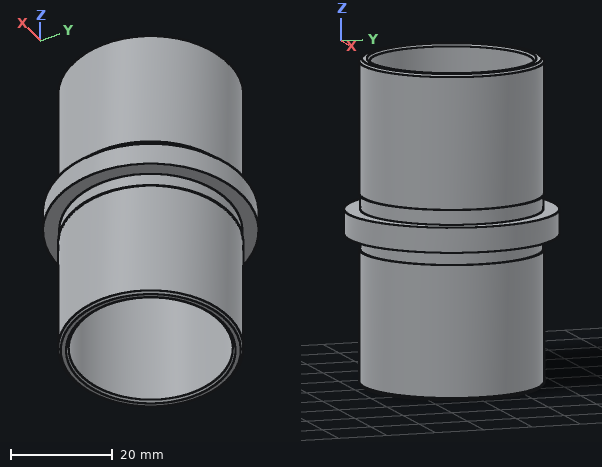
import cadquery as cq

length = 65.0
tube_diameter = 36.4
bore_diameter = 32.25
flange_diameter = 42.4
flange_thickness = 5.0
groove_width = 3.0
groove_depth = 0.2
end_chamfer = 0.5

tube_radius = tube_diameter / 2
groove_radius = tube_radius - groove_depth
grooved_span = flange_thickness + 2 * groove_width
sleeve_length = (length - grooved_span) / 2


def make_sleeve(bottom):
    """Plain tube end, solid for now, starting at height bottom."""
    return cq.Workplane("XY", origin=(0, 0, bottom)).circle(tube_radius).extrude(sleeve_length)


core = cq.Workplane("XY").cylinder(grooved_span, groove_radius)
flange = cq.Workplane("XY").cylinder(flange_thickness, flange_diameter / 2)

lower_sleeve = make_sleeve(-length / 2)
upper_sleeve = make_sleeve(grooved_span / 2)
body = core.union(flange).union(lower_sleeve).union(upper_sleeve)

bore = cq.Workplane("XY").cylinder(length, bore_diameter / 2)
result = body.cut(bore).faces("<Z or >Z").chamfer(end_chamfer)